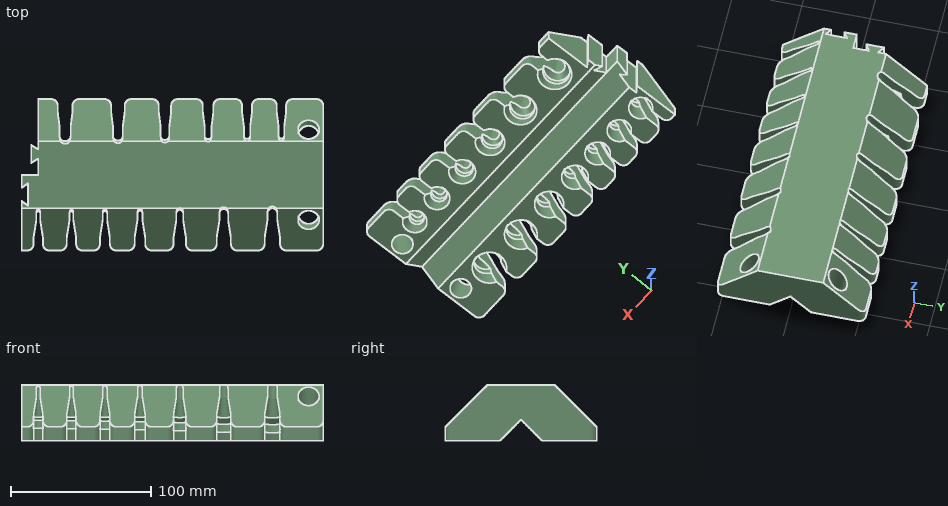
import cadquery as cq
import math

length = 215
height = 40.0
base_width = 108.0
lip_height = 9.9
slope_run = height - lip_height
top_width = base_width - 2 * slope_run
groove_depth = 15.0
corner_radius = 5.0

step_depth = 11.8
tail_y = 14.8
tail_length = 5.2
tail_tip_width = 13.1
tail_root_width = 6.7
socket_y = -14.0
socket_depth = 4.5
socket_floor_width = 15.7
socket_mouth_width = 9.2

slot_axis_y = 26.0
slot_tilt = 8
shoulder_drop = 23.0
chamber_height = 5.8
overrun = 17.2
lead_in_angle = 19

front_slots = [
    (11.8, 1.3, 5.2),
    (35.5, 1.3, 5.4),
    (59.3, 1.5, 5.8),
    (84.2, 1.7, 6.5),
    (112.6, 2.4, 7.5),
    (144.0, 3.0, 9.0),
    (178.5, 3.5, 9.7),
]
front_throat_length = 9.2
front_flare = 2.0
rear_slots = [
    (31.0, 3.9, 9.7),
    (68.5, 3.5, 9.0),
    (102.0, 3.0, 7.5),
    (132.8, 2.4, 6.5),
    (160.5, 2.1, 5.8),
    (185.0, 2.0, 5.4),
]
rear_throat_length = 11.5
rear_flare = 1.3

hole_diameter = 15.0
hole_x = 204.4
hole_y = 32.2
hole_tilt = 9


def make_body():
    half_base = base_width / 2
    half_top = top_width / 2
    section = [
        (-half_base, 0),
        (-groove_depth, 0),
        (0, groove_depth),
        (groove_depth, 0),
        (half_base, 0),
        (half_base, lip_height),
        (half_top, height),
        (-half_top, height),
        (-half_base, lip_height),
    ]
    return cq.Workplane("YZ").polyline(section).close().extrude(length)


def dovetail(x, y, depth, left_width, right_width):
    """Bar of dovetail section standing from the base to the top."""
    outline = [
        (x, y - left_width / 2),
        (x + depth, y - right_width / 2),
        (x + depth, y + right_width / 2),
        (x, y + left_width / 2),
    ]
    return cq.Workplane("XY").polyline(outline).close().extrude(height)


def cut_joint(body):
    """Set the rear half back, leave a tail on it and cut a socket into the front half."""
    step = cq.Workplane("XY").box(step_depth, base_width, height, centered=False)
    tail = dovetail(step_depth - tail_length, tail_y, tail_length, tail_tip_width, tail_root_width)
    tail = tail.intersect(body)
    socket = dovetail(0, socket_y, socket_depth, socket_mouth_width, socket_floor_width)
    return body.cut(step).union(tail).cut(socket)


def slot_cutter(throat_radius, chamber_radius, throat_length, flare):
    """Upright cutter opening towards -Y, with the top plane of the body at Z = 0."""
    shoulder_radius = throat_radius + flare
    chamber_top = -shoulder_drop - (chamber_radius - shoulder_radius)
    chamber_bottom = chamber_top - chamber_height
    bottom = -height - overrun
    lead_in_radius = chamber_radius + (chamber_bottom - bottom) * math.tan(math.radians(lead_in_angle))
    flank = [
        (throat_radius, overrun),
        (throat_radius, -throat_length),
        (shoulder_radius, -shoulder_drop),
    ]
    chamber = [
        (chamber_radius, chamber_top),
        (chamber_radius, chamber_bottom),
        (lead_in_radius, bottom),
    ]
    profile = [(0, overrun)] + flank + chamber + [(0, bottom)]
    round_back = cq.Workplane("XZ").polyline(profile).close().revolve(360, (0, 0), (0, 1))
    right_side = flank + [(shoulder_radius, bottom)]
    left_side = [(-x, z) for x, z in reversed(right_side)]
    opening = cq.Workplane("XZ").polyline(right_side + left_side).close().extrude(base_width / 2)
    return round_back.union(opening)


def cut_slots(body, slots, throat_length, flare, rear):
    """Cut one row of slots; the rear row is mirrored to open towards +Y."""
    for x, throat_radius, chamber_radius in slots:
        cutter = slot_cutter(throat_radius, chamber_radius, throat_length, flare)
        cutter = cutter.rotate((0, 0, 0), (1, 0, 0), -slot_tilt)
        cutter = cutter.translate((x, -slot_axis_y, height))
        if rear:
            cutter = cutter.mirror("XZ")
        body = body.cut(cutter)
    return body


def round_finger_corners(body):
    """Round the upright corners of the outer faces, except at the left end."""
    reach = 0.2
    for side in (-1, 1):
        left_end = 0 if side < 0 else step_depth
        face_y = side * base_width / 2
        corners = cq.selectors.BoxSelector(
            (left_end + reach, face_y - reach, 0), (length + reach, face_y + reach, height)
        )
        body = body.edges("|Z").edges(corners).fillet(corner_radius)
    return body


def cut_holes(body):
    """One hole per side, leaning outwards at the top, centred on the sloped face."""
    hole_z = height - (hole_y - top_width / 2)
    for side in (-1, 1):
        hole = cq.Workplane("XY").circle(hole_diameter / 2).extrude(height + overrun, both=True)
        hole = hole.rotate((0, 0, 0), (1, 0, 0), -side * hole_tilt)
        body = body.cut(hole.translate((hole_x, side * hole_y, hole_z)))
    return body


result = cut_joint(make_body())
result = cut_slots(result, front_slots, front_throat_length, front_flare, rear=False)
result = cut_slots(result, rear_slots, rear_throat_length, rear_flare, rear=True)
result = round_finger_corners(result)
result = cut_holes(result)